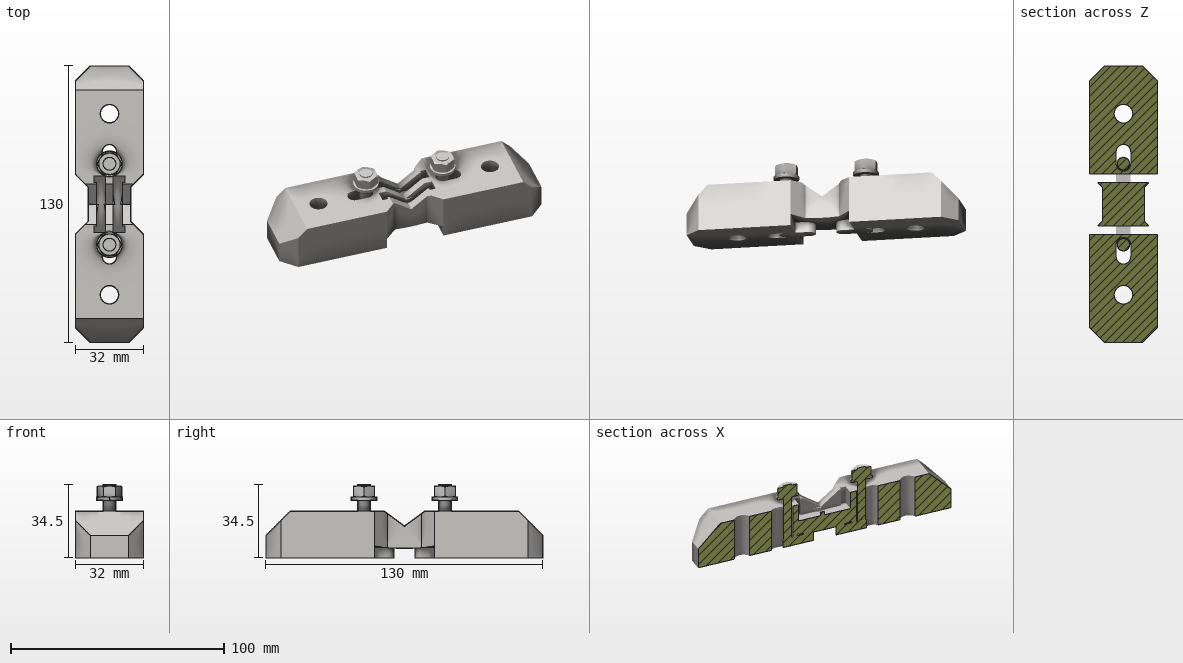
import cadquery as cq
import math

WIDTH = 32.0
LENGTH = 130.0
BODY_HEIGHT = 22.0
END_CORNER = 7.0
END_BEVEL = 11.4
WAIST_WIDTH = 20.0
WAIST_LENGTH = 16.0
WAIST_FLARE = (WIDTH - WAIST_WIDTH) / 2
WAIST_REACH = WAIST_LENGTH / 2 + WAIST_FLARE

VALLEY_WIDTH = 19.0
VALLEY_DEPTH = 7.0

ARCH_CROWN = 4.5
ARCH_SPRING = 5.5

RIB_WIDTH = 3.5
GROOVE_OUTER = 6.0
GROOVE_HEAD_OUTER = 7.3
GROOVE_REACH = 13.2
GROOVE_HEAD_LENGTH = 2.9
GROOVE_FLOOR = 13.0

BARB_LENGTH = 4.0
BARB_DEPTH = 0.75
BARB_TOP = BODY_HEIGHT - VALLEY_DEPTH

HOLE_DIAMETER = 8.5
HOLE_SPACING = 85.0

BOLT_Y = 19.0
BOLT_DIAMETER = 6.0
BOLT_TOP = 34.5
WASHER_DIAMETER = 12.0
WASHER_THICKNESS = 1.6
WASHER_BOTTOM = 27.0
WASHER_SPLIT = 0.15
WASHER_SPLIT_LEAN = 0.6
NUT_ACROSS_FLATS = 10.0
NUT_HEIGHT = 5.2
NUT_CHAMFER_ANGLE = 30.0
TONGUE_TIP = 4.85
TONGUE_HEIGHT = 5.0

SLOT_WIDTH = 6.6
SLOT_INNER = BOLT_Y - SLOT_WIDTH / 2
SLOT_OUTER = 28.0


def box_between(x0, x1, y0, y1, z0, z1):
    return cq.Workplane("XY").box(x1 - x0, y1 - y0, z1 - z0, centered=False).translate((x0, y0, z0))


def rounded_bar(width, y0, y1, height):
    """A bar along Y, from z = 0, with full-round ends at y0 and y1."""
    return (
        cq.Workplane("XY")
        .center(0, (y0 + y1) / 2)
        .slot2D(y1 - y0, width, 90)
        .extrude(height)
    )


def make_body():
    body = cq.Workplane("XY").box(WIDTH, LENGTH, BODY_HEIGHT, centered=(True, True, False))
    body = body.edges("|Z").chamfer(END_CORNER)
    for side in (-1, 1):
        body = body.cut(make_waist_cut(side))
        body = body.cut(make_end_bevel(side))
    return body


def make_waist_cut(side):
    x_in = side * WAIST_WIDTH / 2
    x_out = side * WIDTH / 2
    return (
        cq.Workplane("XY")
        .polyline([
            (x_in, -WAIST_LENGTH / 2),
            (x_in, WAIST_LENGTH / 2),
            (x_out, WAIST_REACH),
            (x_out, -WAIST_REACH),
        ])
        .close()
        .extrude(BODY_HEIGHT)
    )


def make_end_bevel(side):
    y_end = side * LENGTH / 2
    return (
        cq.Workplane("YZ")
        .polyline([
            (y_end, BODY_HEIGHT),
            (y_end, BODY_HEIGHT - END_BEVEL),
            (y_end - side * END_BEVEL, BODY_HEIGHT),
        ])
        .close()
        .extrude(WIDTH / 2, both=True)
    )


def make_valley():
    return (
        cq.Workplane("YZ")
        .polyline([
            (-VALLEY_WIDTH / 2, BODY_HEIGHT),
            (0, BODY_HEIGHT - VALLEY_DEPTH),
            (VALLEY_WIDTH / 2, BODY_HEIGHT),
        ])
        .close()
        .extrude(WIDTH / 2, both=True)
    )


def make_arch():
    return (
        cq.Workplane("YZ")
        .moveTo(-WAIST_REACH, 0)
        .lineTo(-WAIST_REACH, ARCH_SPRING)
        .threePointArc((0, ARCH_CROWN), (WAIST_REACH, ARCH_SPRING))
        .lineTo(WAIST_REACH, 0)
        .close()
        .extrude(WIDTH / 2, both=True)
    )


def make_groove():
    """The groove on the +X side of the rib, with its barbs on the +Y half."""
    x_in = RIB_WIDTH / 2
    groove = box_between(x_in, GROOVE_OUTER, -GROOVE_REACH, GROOVE_REACH, GROOVE_FLOOR, BODY_HEIGHT)
    head_start = GROOVE_REACH - GROOVE_HEAD_LENGTH
    for y0, y1 in ((-GROOVE_REACH, -head_start), (head_start, GROOVE_REACH)):
        groove = groove.union(box_between(x_in, GROOVE_HEAD_OUTER, y0, y1, GROOVE_FLOOR, BODY_HEIGHT))
    for wall, inward in ((x_in, 1), (GROOVE_OUTER, -1)):
        barb = (
            cq.Workplane("XY")
            .workplane(offset=GROOVE_FLOOR)
            .polyline([(wall, 0), (wall + inward * BARB_DEPTH, 0), (wall, BARB_LENGTH)])
            .close()
            .extrude(BARB_TOP - GROOVE_FLOOR)
        )
        groove = groove.cut(barb)
    return groove


def make_nut():
    """A hexagon with corners along X, its top and bottom corners cut to a cone."""
    corner_diameter = NUT_ACROSS_FLATS / math.cos(math.pi / 6)
    hexagon = cq.Workplane("XY").polygon(6, corner_diameter).extrude(NUT_HEIGHT)
    inset = (corner_diameter - NUT_ACROSS_FLATS) / 2
    drop = inset * math.tan(math.radians(NUT_CHAMFER_ANGLE))
    envelope = (
        cq.Workplane("XY")
        .circle(corner_diameter / 2)
        .extrude(NUT_HEIGHT)
        .faces("<Z or >Z")
        .chamfer(drop, inset)
    )
    return hexagon.intersect(envelope)


def make_washer():
    """A spring washer with a slanted slit on its -Y side."""
    washer = cq.Workplane("XY").circle(WASHER_DIAMETER / 2).extrude(WASHER_THICKNESS)
    bottom_x = WASHER_SPLIT_LEAN / 2
    slit = (
        cq.Workplane("XZ")
        .polyline([
            (bottom_x, 0),
            (bottom_x + WASHER_SPLIT, 0),
            (bottom_x + WASHER_SPLIT - WASHER_SPLIT_LEAN, WASHER_THICKNESS),
            (bottom_x - WASHER_SPLIT_LEAN, WASHER_THICKNESS),
        ])
        .close()
        .extrude(WASHER_DIAMETER / 2)
    )
    return washer.cut(slit)


def make_bolt():
    """Stud, washer and nut, standing on z = 0 at the origin."""
    stud = cq.Workplane("XY").circle(BOLT_DIAMETER / 2).extrude(BOLT_TOP)
    washer = make_washer().translate((0, 0, WASHER_BOTTOM))
    nut = make_nut().translate((0, 0, WASHER_BOTTOM + WASHER_THICKNESS))
    return washer.union(stud).union(nut)


def half_turn(shape):
    """The same shape, turned half way round the Z axis."""
    return shape.rotate((0, 0, 0), (0, 0, 1), 180)


result = make_body().cut(make_valley()).cut(make_arch())

groove = make_groove()
slot = rounded_bar(SLOT_WIDTH, SLOT_INNER, SLOT_OUTER, BODY_HEIGHT)
hole = cq.Workplane("XY").center(0, HOLE_SPACING / 2).circle(HOLE_DIAMETER / 2).extrude(BODY_HEIGHT)
for cutter in (groove, slot, hole):
    result = result.cut(cutter).cut(half_turn(cutter))

tongue = rounded_bar(SLOT_WIDTH, TONGUE_TIP, BOLT_Y + SLOT_WIDTH / 2, TONGUE_HEIGHT)
result = result.union(tongue).union(half_turn(tongue))

bolt = make_bolt()
for bolt_y in (-BOLT_Y, BOLT_Y):
    result = result.union(bolt.translate((0, bolt_y, 0)))